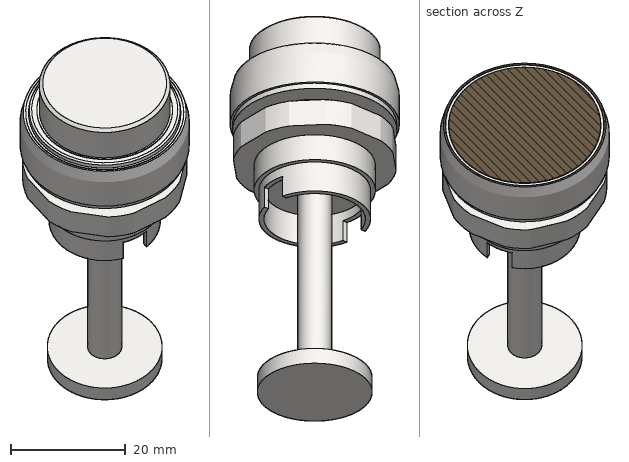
import cadquery as cq
import math

TOTAL_HEIGHT = 69.5
DISC_THICKNESS = 3.0
SKIRT_BOTTOM = 34.9
NECK_BOTTOM = 40.7
NUT_BOTTOM = 45.7
NUT_TOP = 50.75
FLANGE_BOTTOM = 52.9
BEZEL_BOTTOM = 53.9
BEVEL_BOTTOM = 59.9
BEZEL_TOP = 62.1
RIM_TOP = 62.75

BUTTON_RADIUS = 11.4
BUTTON_EDGE_HEIGHT = 0.5
BUTTON_EDGE_INSET = 0.6

SKIRT_RADIUS = 9.7
SKIRT_WALL = 0.9
SLOT_WIDTH = 4.85
SLOT_HEIGHT = 3.95
NECK_RADIUS = 10.55
FLANGE_RADIUS = 14.3
BEZEL_RADIUS = 14.7
BEVEL_TOP_RADIUS = 14.2
GROOVE_OUTER_RADIUS = 13.75
GROOVE_INNER_RADIUS = 13.3
GROOVE_DEPTH = 0.15
RIM_RADIUS = 13.15
RIM_FLAT_RADIUS = 12.7
RIM_EDGE_DROP = 0.15
BUTTON_RECESS_RADIUS = 11.8
BUTTON_RECESS_DEPTH = 0.15

NUT_FLAT_COUNT = 8
NUT_ACROSS_FLATS = 27.9
NUT_CORNER_RADIUS = 14.3

ROD_RADIUS = 3.0
DISC_RADIUS = 10.0

BUTTON_BOTTOM = RIM_TOP - BUTTON_RECESS_DEPTH


def cylinder(radius, bottom, top):
    return cq.Workplane("XY").workplane(offset=bottom).circle(radius).extrude(top - bottom)


def make_button():
    body = cylinder(BUTTON_RADIUS, BUTTON_BOTTOM, TOTAL_HEIGHT)
    return body.faces(">Z").edges().chamfer(BUTTON_EDGE_HEIGHT, BUTTON_EDGE_INSET)


def make_housing():
    groove_floor = BEZEL_TOP - GROOVE_DEPTH
    body = (
        cq.Workplane("XZ")
        .moveTo(0, NECK_BOTTOM)
        .lineTo(SKIRT_RADIUS - SKIRT_WALL, NECK_BOTTOM)
        .lineTo(SKIRT_RADIUS - SKIRT_WALL, SKIRT_BOTTOM)
        .lineTo(SKIRT_RADIUS, SKIRT_BOTTOM)
        .lineTo(SKIRT_RADIUS, NECK_BOTTOM)
        .lineTo(NECK_RADIUS, NECK_BOTTOM)
        .lineTo(NECK_RADIUS, FLANGE_BOTTOM)
        .lineTo(FLANGE_RADIUS, FLANGE_BOTTOM)
        .lineTo(FLANGE_RADIUS, BEZEL_BOTTOM)
        .lineTo(BEZEL_RADIUS, BEZEL_BOTTOM)
        .lineTo(BEZEL_RADIUS, BEVEL_BOTTOM)
        .lineTo(BEVEL_TOP_RADIUS, BEZEL_TOP)
        .lineTo(GROOVE_OUTER_RADIUS, BEZEL_TOP)
        .lineTo(GROOVE_OUTER_RADIUS, groove_floor)
        .lineTo(GROOVE_INNER_RADIUS, groove_floor)
        .lineTo(RIM_RADIUS, RIM_TOP - RIM_EDGE_DROP)
        .lineTo(RIM_FLAT_RADIUS, RIM_TOP)
        .lineTo(BUTTON_RECESS_RADIUS, RIM_TOP)
        .lineTo(BUTTON_RECESS_RADIUS, BUTTON_BOTTOM)
        .lineTo(0, BUTTON_BOTTOM)
        .close()
        .revolve(360, (0, 0, 0), (0, 1, 0))
    )
    slot = (
        cq.Workplane("XY")
        .workplane(offset=SKIRT_BOTTOM)
        .rect(2 * BEZEL_RADIUS, SLOT_WIDTH)
        .extrude(SLOT_HEIGHT)
    )
    return body.cut(slot)


def make_nut():
    height = NUT_TOP - NUT_BOTTOM
    half_step = 180 / NUT_FLAT_COUNT
    corner_to_corner = NUT_ACROSS_FLATS / math.cos(math.radians(half_step))
    octagon = (
        cq.Workplane("XY")
        .workplane(offset=NUT_BOTTOM)
        .polygon(NUT_FLAT_COUNT, corner_to_corner)
        .extrude(height)
        .rotate((0, 0, 0), (0, 0, 1), half_step)
    )
    rounded = octagon.intersect(cylinder(NUT_CORNER_RADIUS, NUT_BOTTOM, NUT_TOP))
    return rounded.cut(cylinder(NECK_RADIUS, NUT_BOTTOM, NUT_TOP))


def make_plunger():
    disc = cylinder(DISC_RADIUS, 0, DISC_THICKNESS)
    return disc.union(cylinder(ROD_RADIUS, 0, NECK_BOTTOM))


button = make_button()
housing = make_housing()
nut = make_nut()
plunger = make_plunger()

result = cq.Compound.makeCompound([button.val(), housing.val(), nut.val(), plunger.val()])